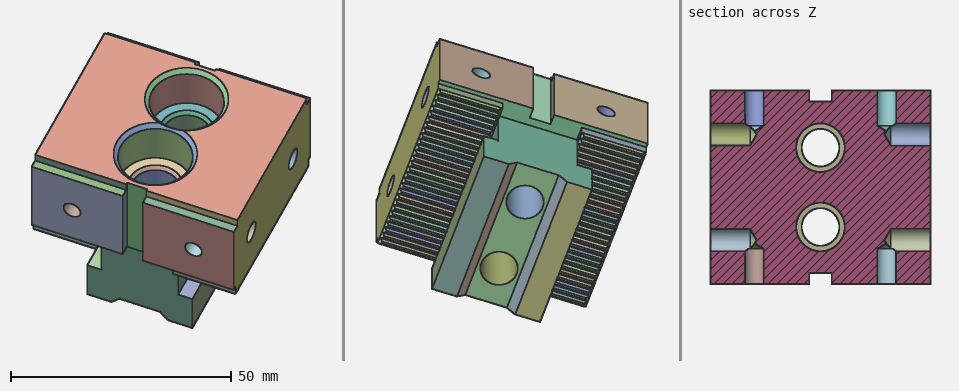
import cadquery as cq
import math

HOUSING_LENGTH = 50.0
HOUSING_WIDTH = 44.0
HOUSING_HEIGHT = 25.0
TOP_STEP = 2.0
BOTTOM_STEP_WIDTH = 1.0
SLOT_DEPTH_Z = 22.0

GROOVE_WIDTH = 5.0
GROOVE_DEPTH = 2.5

TEETH_WIDTH = HOUSING_WIDTH - 2 * BOTTOM_STEP_WIDTH
TOOTH_COUNT = 28
TOOTH_PITCH = TEETH_WIDTH / TOOTH_COUNT
TOOTH_HEIGHT = 0.5
JAW_CHAMFER = 0.7

SCREW_SPACING = 18.0
SCREW_CENTRES = [(0, -SCREW_SPACING / 2), (0, SCREW_SPACING / 2)]
HEAD_BORE_DIAMETER = 17.0
HEAD_BORE_DEPTH = 11.0
HEAD_BORE_CHAMFER = 1.0
CLEARANCE_DIAMETER = 11.0
CLEARANCE_CHAMFER = 0.8

DRILL_POINT_ANGLE = 118.0
SIDE_HOLE_Z = -12.5
END_HOLE_DIAMETER = 5.0
END_HOLE_DEPTH = 9.0
END_HOLE_Y = 12.0
FLANK_HOLE_DIAMETER = 4.2
FLANK_HOLE_DEPTH = 8.0
FLANK_HOLE_X = 15.0

NUT_LENGTH = 36.0
NUT_BOTTOM_Z = -44.7
NUT_HEIGHT = 22.0
STEM_WIDTH = 19.0
FOOT_WIDTH = 26.0
FOOT_HEIGHT = 10.0
RELIEF_WIDTH = 14.0
RELIEF_DEPTH = 2.0
NUT_HOLE_DIAMETER = 8.5

JAW_WIDTH = (HOUSING_LENGTH - STEM_WIDTH) / 2
JAW_CENTRE_X = (STEM_WIDTH + JAW_WIDTH) / 2


def slab(length, width, top, bottom):
    """Box centred on the Z axis between two levels."""
    return cq.Workplane("XY").workplane(offset=bottom).rect(length, width).extrude(top - bottom)


def stepped_block():
    """Block with ledges along its upper Y edges, down to the slot roof."""
    crown = slab(HOUSING_LENGTH, HOUSING_WIDTH - 2 * TOP_STEP, 0, -TOP_STEP)
    middle = slab(HOUSING_LENGTH, HOUSING_WIDTH, -TOP_STEP, -SLOT_DEPTH_Z)
    return crown.union(middle)


def jaw(centre_x):
    """Jaw beside the slot, with its lower X edges bevelled."""
    return (
        slab(JAW_WIDTH, TEETH_WIDTH, -SLOT_DEPTH_Z, -HOUSING_HEIGHT)
        .faces("<Z")
        .edges("|Y")
        .chamfer(JAW_CHAMFER)
        .translate((centre_x, 0, 0))
    )


def tooth_grooves():
    """V-grooves across both jaws, starting and ending on their Y edges."""
    grooves = cq.Workplane("YZ").workplane(offset=-HOUSING_LENGTH / 2)
    for index in range(TOOTH_COUNT + 1):
        y = -TEETH_WIDTH / 2 + index * TOOTH_PITCH
        grooves = grooves.polyline([
            (y - TOOTH_HEIGHT, -HOUSING_HEIGHT),
            (y + TOOTH_HEIGHT, -HOUSING_HEIGHT),
            (y, -HOUSING_HEIGHT + TOOTH_HEIGHT),
        ]).close()
    return grooves.extrude(HOUSING_LENGTH)


def side_grooves():
    """Vertical grooves halfway along both Y sides."""
    groove_y = (HOUSING_WIDTH - GROOVE_DEPTH) / 2
    return (
        cq.Workplane("XY")
        .pushPoints([(0, -groove_y), (0, groove_y)])
        .rect(GROOVE_WIDTH, GROOVE_DEPTH)
        .extrude(-SLOT_DEPTH_Z)
    )


def screw_bore(x, y):
    """Chamfered head bore with a chamfered clearance hole, as one turned shape."""
    head_radius = HEAD_BORE_DIAMETER / 2
    clearance_radius = CLEARANCE_DIAMETER / 2
    profile = [
        (0, 0),
        (head_radius + HEAD_BORE_CHAMFER, 0),
        (head_radius, -HEAD_BORE_CHAMFER),
        (head_radius, -HEAD_BORE_DEPTH),
        (clearance_radius + CLEARANCE_CHAMFER, -HEAD_BORE_DEPTH),
        (clearance_radius, -HEAD_BORE_DEPTH - CLEARANCE_CHAMFER),
        (clearance_radius, -SLOT_DEPTH_Z),
        (0, -SLOT_DEPTH_Z),
    ]
    bore = cq.Workplane("XZ").polyline(profile).close().revolve(360, (0, 0, 0), (0, 1, 0))
    return bore.translate((x, y, 0))


def drilled_hole(diameter, depth, mouth, direction):
    """Blind hole with a conical drill point."""
    radius = diameter / 2
    point_length = radius / math.tan(math.radians(DRILL_POINT_ANGLE / 2))
    start = cq.Vector(*mouth)
    axis = cq.Vector(*direction)
    shaft = cq.Solid.makeCylinder(radius, depth, start, axis)
    point = cq.Solid.makeCone(radius, 0, point_length, start + axis * depth, axis)
    return cq.Workplane(shaft).union(cq.Workplane(point))


def make_housing():
    body = stepped_block()
    for side in (-1, 1):
        body = body.union(jaw(side * JAW_CENTRE_X))
    body = body.cut(tooth_grooves())
    body = body.cut(side_grooves())
    for x, y in SCREW_CENTRES:
        body = body.cut(screw_bore(x, y))
    for x_side in (-1, 1):
        for y_side in (-1, 1):
            end_mouth = (x_side * HOUSING_LENGTH / 2, y_side * END_HOLE_Y, SIDE_HOLE_Z)
            flank_mouth = (x_side * FLANK_HOLE_X, y_side * HOUSING_WIDTH / 2, SIDE_HOLE_Z)
            body = body.cut(drilled_hole(END_HOLE_DIAMETER, END_HOLE_DEPTH, end_mouth, (-x_side, 0, 0)))
            body = body.cut(drilled_hole(FLANK_HOLE_DIAMETER, FLANK_HOLE_DEPTH, flank_mouth, (0, -y_side, 0)))
    return body


def make_slot_nut():
    """Inverted T with a relief channel underneath and two screw holes through it."""
    top = NUT_BOTTOM_Z + NUT_HEIGHT
    foot_top = NUT_BOTTOM_Z + FOOT_HEIGHT
    foot = slab(FOOT_WIDTH, NUT_LENGTH, foot_top, NUT_BOTTOM_Z)
    stem = slab(STEM_WIDTH, NUT_LENGTH, top, foot_top)
    half_mouth = RELIEF_WIDTH / 2
    half_roof = half_mouth - RELIEF_DEPTH
    relief = (
        cq.Workplane("XZ")
        .polyline([
            (-half_mouth, NUT_BOTTOM_Z),
            (half_mouth, NUT_BOTTOM_Z),
            (half_roof, NUT_BOTTOM_Z + RELIEF_DEPTH),
            (-half_roof, NUT_BOTTOM_Z + RELIEF_DEPTH),
        ])
        .close()
        .extrude(NUT_LENGTH / 2, both=True)
    )
    screw_holes = (
        cq.Workplane("XY")
        .workplane(offset=NUT_BOTTOM_Z)
        .pushPoints(SCREW_CENTRES)
        .circle(NUT_HOLE_DIAMETER / 2)
        .extrude(NUT_HEIGHT)
    )
    return foot.union(stem).cut(relief).cut(screw_holes)


housing = make_housing()
slot_nut = make_slot_nut()

result = cq.Compound.makeCompound([housing.solids().val(), slot_nut.solids().val()])